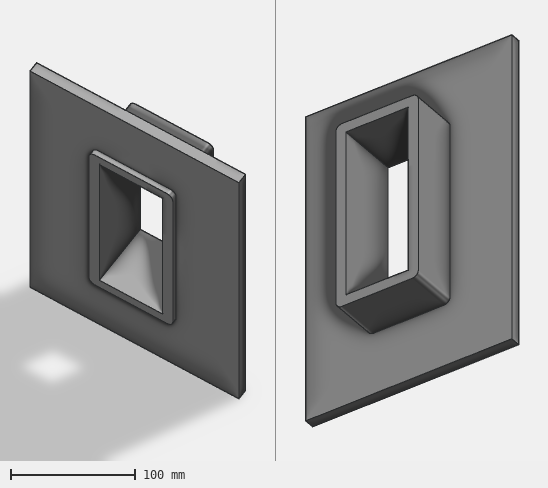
import cadquery as cq

plate_width = 200.5
plate_height = 299.5
plate_thickness = 10.0

sleeve_width = 80.3
sleeve_height = 180.0
sleeve_depth = 60.0
front_projection = 5.0
wall = 10.0
corner_radius = 6.0

opening_width = sleeve_width - 2 * wall
opening_height = sleeve_height - 2 * wall


def block(width, depth, height, front_y):
    """Box centred in X and Z, running toward +Y from front_y."""
    return cq.Workplane("XY").box(width, depth, height, centered=(True, False, True)).translate((0, front_y, 0))


plate = block(plate_width, plate_thickness, plate_height, 0)
sleeve = block(sleeve_width, sleeve_depth, sleeve_height, -front_projection)
sleeve = sleeve.edges("|Y").fillet(corner_radius)
opening = block(opening_width, sleeve_depth, opening_height, -front_projection)

result = plate.union(sleeve).cut(opening)